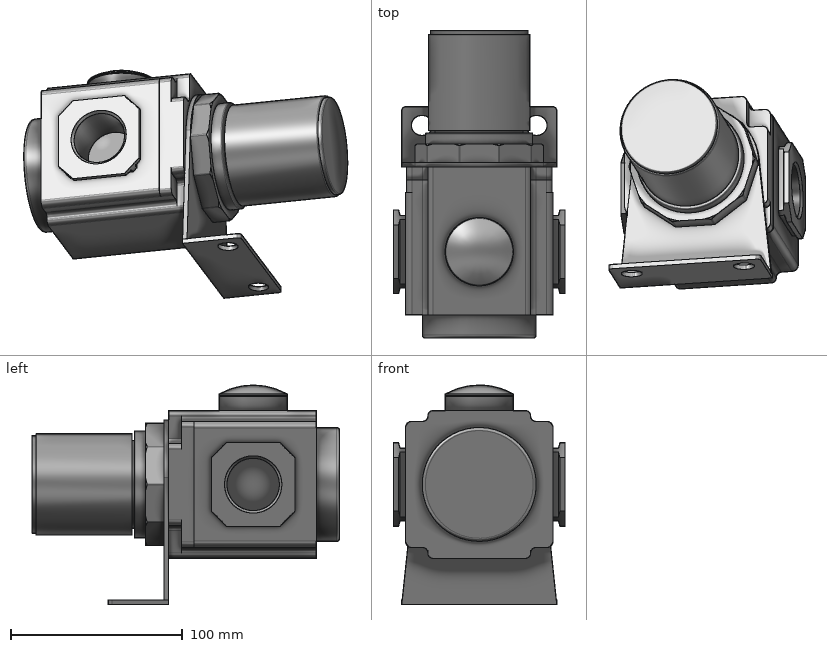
import cadquery as cq
import math


OVERALL_LENGTH = 179.5
OVERALL_WIDTH = 100.0
OVERALL_HEIGHT = 128.0

FRONT_END = -50.5
BODY_FRONT = -36.8
LID_START = 34.6
LID_RELIEF = 41.8
BODY_BACK = 49.4
BRACKET_THICKNESS = 2.7
NUT_START = BODY_BACK + BRACKET_THICKNESS
NUT_LENGTH = 10.8
COLLAR_LENGTH = 6.5
GAP_LENGTH = 1.3
KNOB_END = FRONT_END + OVERALL_LENGTH
KNOB_LIP = 2.3
COLLAR_START = NUT_START + NUT_LENGTH
GAP_START = COLLAR_START + COLLAR_LENGTH
KNOB_START = GAP_START + GAP_LENGTH

BODY_HALF = 43.0
LID_HALF_WIDTH = 42.5
CREST_HALF_WIDTH = 30.0
SIDE_HALF_HEIGHT = 36.8
RELIEF_HALF_HEIGHT = 23.9
STEP_RADIUS = 3.0
CORNER_X = 39.3

CAP_RADIUS = 33.2
CAP_FILLET = 1.8
NUT_SIDES = 10
NUT_CORNER_RADIUS = 37.5
NUT_CHAMFER = 1.0
NUT_EDGE_FILLET = 1.0
COLLAR_RADIUS = 31.2
COLLAR_FILLET = 0.5
GAP_RADIUS = 25.7
KNOB_RADIUS = 29.6
KNOB_LIP_RADIUS = 28.5
KNOB_FILLET = 0.5

BUTTON_RADIUS = 20.0
BUTTON_GROOVE_HEIGHT = 51.3
BUTTON_GROOVE_WIDTH = 0.5
BUTTON_GROOVE_DEPTH = 0.4
BUTTON_RIM_HEIGHT = 52.6
DOME_RADIUS = 19.4
DOME_START = 53.0
BUTTON_TOP = 58.0

PORT_FACE = OVERALL_WIDTH / 2
FLANGE_START = 47.0
FLANGE_BACK_RISE = 0.9
FLANGE_HALF = 24.5
FLANGE_CORNER = 8.8
NECK_HALF = 21.2
BORE_RADIUS = 15.3
BORE_CHAMFER = 1.5
BORE_DEPTH = 32.3

PLATE_TOP_RADIUS = 37.7
FOOT_BOTTOM = BUTTON_TOP - OVERALL_HEIGHT
FOOT_HALF_WIDTH = 45.2
FOOT_END = 84.5
FOOT_CORNER_RADIUS = 2.3
SLOT_Y = 73.6
SLOT_WIDTH = 11.5
SLOT_LENGTH = 12.2
SLOT_OUTER_X = 39.5


def axis_plane(y):
    """Plane across the regulator axis at y: local x is -X, local y is Z, normal is +Y."""
    return cq.Workplane("XZ", origin=(0, y, 0)).transformed(rotate=(0, 180, 0))


def disc(start, end, radius):
    return axis_plane(start).circle(radius).extrude(end - start)


def stepped_block(start, end, half_width, side_half_height):
    """Rounded cross-shaped block: a tall crest and a wider, lower side-to-side part."""
    arc_middle = 1 - math.sqrt(0.5)
    side_z = side_half_height
    outer_radius = half_width - CORNER_X
    foot_x = CREST_HALF_WIDTH + STEP_RADIUS
    quarter = (
        axis_plane(start)
        .moveTo(0, 0)
        .lineTo(half_width, 0)
        .lineTo(half_width, side_z - outer_radius)
        .threePointArc(
            (half_width - outer_radius * arc_middle, side_z - outer_radius * arc_middle),
            (CORNER_X, side_z),
        )
        .lineTo(foot_x, side_z)
        .threePointArc(
            (CREST_HALF_WIDTH + STEP_RADIUS * arc_middle, side_z + STEP_RADIUS * arc_middle),
            (CREST_HALF_WIDTH, side_z + STEP_RADIUS),
        )
        .lineTo(CREST_HALF_WIDTH, BODY_HALF - STEP_RADIUS)
        .threePointArc(
            (CREST_HALF_WIDTH - STEP_RADIUS * arc_middle, BODY_HALF - STEP_RADIUS * arc_middle),
            (CREST_HALF_WIDTH - STEP_RADIUS, BODY_HALF),
        )
        .lineTo(0, BODY_HALF)
        .close()
        .extrude(end - start)
    )
    return both_sides(quarter.union(quarter.mirror("XY")))


def body():
    block = stepped_block(BODY_FRONT, LID_START, BODY_HALF, SIDE_HALF_HEIGHT)
    lid = stepped_block(LID_START, LID_RELIEF, LID_HALF_WIDTH, SIDE_HALF_HEIGHT)
    relieved = stepped_block(LID_RELIEF, BODY_BACK, LID_HALF_WIDTH, RELIEF_HALF_HEIGHT)
    return block.union(lid).union(relieved)


def front_cap():
    return disc(FRONT_END, BODY_FRONT, CAP_RADIUS).faces("<Y").edges().fillet(CAP_FILLET)


def nut():
    prism = axis_plane(NUT_START).polygon(NUT_SIDES, 2 * NUT_CORNER_RADIUS).extrude(NUT_LENGTH)
    prism = prism.edges("|Y").fillet(NUT_EDGE_FILLET)
    turned = disc(NUT_START, COLLAR_START, NUT_CORNER_RADIUS).faces(">Y").edges().chamfer(NUT_CHAMFER)
    return prism.intersect(turned)


def knob():
    collar = disc(COLLAR_START, GAP_START, COLLAR_RADIUS).faces(">Y").edges().fillet(COLLAR_FILLET)
    gap = disc(GAP_START, KNOB_START, GAP_RADIUS)
    grip = disc(KNOB_START, KNOB_END - KNOB_LIP, KNOB_RADIUS).faces(">Y").edges().fillet(KNOB_FILLET)
    lip = disc(KNOB_END - KNOB_LIP, KNOB_END, KNOB_LIP_RADIUS).faces(">Y").edges().fillet(KNOB_FILLET)
    return collar.union(gap).union(grip).union(lip)


def button():
    groove_top = BUTTON_GROOVE_HEIGHT + BUTTON_GROOVE_WIDTH
    groove_radius = BUTTON_RADIUS - BUTTON_GROOVE_DEPTH
    rise = BUTTON_TOP - DOME_START
    ball_radius = (DOME_RADIUS**2 + rise**2) / (2 * rise)
    half_angle = math.asin(DOME_RADIUS / ball_radius) / 2
    dome_middle = (
        ball_radius * math.sin(half_angle),
        BUTTON_TOP - ball_radius * (1 - math.cos(half_angle)),
    )
    return (
        cq.Workplane("XZ")
        .moveTo(0, BODY_HALF)
        .lineTo(BUTTON_RADIUS, BODY_HALF)
        .lineTo(BUTTON_RADIUS, BUTTON_GROOVE_HEIGHT)
        .lineTo(groove_radius, BUTTON_GROOVE_HEIGHT)
        .lineTo(groove_radius, groove_top)
        .lineTo(BUTTON_RADIUS, groove_top)
        .lineTo(BUTTON_RADIUS, BUTTON_RIM_HEIGHT)
        .lineTo(DOME_RADIUS, DOME_START)
        .threePointArc(dome_middle, (0, BUTTON_TOP))
        .close()
        .revolve(360, (0, 0), (0, 1))
    )


def port_block(start, end, half, taper=0):
    """Square block along +X between two stations."""
    return cq.Workplane("YZ", origin=(end, 0, 0)).rect(2 * half, 2 * half).extrude(start - end, taper=taper)


def port():
    back_start = FLANGE_START - FLANGE_BACK_RISE
    back_taper = math.degrees(math.atan2(FLANGE_HALF - NECK_HALF, FLANGE_BACK_RISE))
    neck = port_block(LID_HALF_WIDTH, FLANGE_START, NECK_HALF)
    sloped_back = port_block(back_start, FLANGE_START, FLANGE_HALF, back_taper)
    flange = port_block(FLANGE_START, PORT_FACE, FLANGE_HALF)
    bevel_half = (2 * FLANGE_HALF - FLANGE_CORNER) / math.sqrt(2)
    bevel = port_block(LID_HALF_WIDTH, PORT_FACE, bevel_half).rotate((0, 0, 0), (1, 0, 0), 45)
    return neck.union(sloped_back).union(flange).intersect(bevel)


def bore():
    face = cq.Workplane("YZ", origin=(PORT_FACE, 0, 0))
    hole = face.circle(BORE_RADIUS).extrude(-BORE_DEPTH)
    mouth = face.circle(BORE_RADIUS + BORE_CHAMFER).extrude(-BORE_CHAMFER, taper=45)
    return hole.union(mouth)


def both_sides(solid):
    return solid.union(solid.mirror("YZ"))


def bracket():
    corner_distance = math.hypot(FOOT_HALF_WIDTH, FOOT_BOTTOM)
    tangent_angle = math.atan2(FOOT_BOTTOM, FOOT_HALF_WIDTH) + math.acos(PLATE_TOP_RADIUS / corner_distance)
    tangent_x = PLATE_TOP_RADIUS * math.cos(tangent_angle)
    tangent_z = PLATE_TOP_RADIUS * math.sin(tangent_angle)
    plate = (
        axis_plane(BODY_BACK)
        .moveTo(-FOOT_HALF_WIDTH, FOOT_BOTTOM)
        .lineTo(FOOT_HALF_WIDTH, FOOT_BOTTOM)
        .lineTo(tangent_x, tangent_z)
        .threePointArc((0, PLATE_TOP_RADIUS), (-tangent_x, tangent_z))
        .close()
        .extrude(BRACKET_THICKNESS)
    )
    foot = cq.Workplane("XY").box(
        2 * FOOT_HALF_WIDTH, FOOT_END - BODY_BACK, BRACKET_THICKNESS, centered=(True, False, False)
    )
    foot = foot.translate((0, BODY_BACK, FOOT_BOTTOM)).edges("|Z and >Y").fillet(FOOT_CORNER_RADIUS)
    slot_x = SLOT_OUTER_X - SLOT_LENGTH / 2
    slots = (
        cq.Workplane("XY", origin=(0, SLOT_Y, FOOT_BOTTOM))
        .pushPoints([(-slot_x, 0), (slot_x, 0)])
        .slot2D(SLOT_LENGTH, SLOT_WIDTH)
        .extrude(BRACKET_THICKNESS)
    )
    return plate.union(foot.cut(slots))


result = body().union(front_cap()).union(bracket()).union(nut()).union(knob()).union(button())
result = result.union(both_sides(port())).cut(both_sides(bore()))